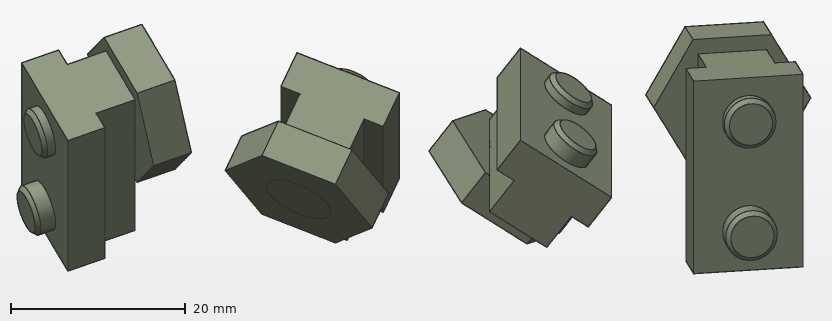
import cadquery as cq
import math

block_height = 23.25
flange_width = 12.75
flange_depth = 4.65
stem_width = 8.0
stem_depth = 4.88
stem_back = flange_depth + stem_depth
stud_diameter = stem_width

overall_height = 25.02
nut_corner_width = 18.31
nut_flat_width = nut_corner_width * math.cos(math.pi / 6)
nut_depth = 4.75
nut_center_z = overall_height - nut_flat_width / 2

pin_diameter = 6.0
pin_chamfer = 0.5
pin_seat_depth = flange_depth
upper_pin_z = 18.1
lower_pin_z = 4.8
upper_pin_projection = 1.5
lower_pin_projection = 2.35
pin_places = [
    (upper_pin_z, upper_pin_projection),
    (lower_pin_z, lower_pin_projection),
]


def cross_plane(y, z):
    """Plane facing +Y, centred on X = 0 at the given Y and Z."""
    return cq.Plane(origin=(0, y, z), xDir=(1, 0, 0), normal=(0, 1, 0))


def cylinder_along_y(diameter, start_y, end_y, z):
    return cq.Workplane(cross_plane(start_y, z)).circle(diameter / 2).extrude(end_y - start_y)


def make_block():
    flange = cq.Workplane("XY").box(
        flange_width, flange_depth, block_height, centered=(True, False, False)
    )
    stem = (
        cq.Workplane("XY")
        .box(stem_width, stem_depth, block_height, centered=(True, False, False))
        .translate((0, flange_depth, 0))
    )
    stud = cylinder_along_y(stud_diameter, stem_back, stem_back + nut_depth, nut_center_z)
    block = flange.union(stem).union(stud)
    for z, _ in pin_places:
        block = block.cut(cylinder_along_y(pin_diameter, 0, pin_seat_depth, z))
    return block


def make_nut():
    return (
        cq.Workplane(cross_plane(stem_back, nut_center_z))
        .polygon(6, nut_corner_width)
        .circle(stud_diameter / 2)
        .extrude(nut_depth)
    )


def make_pin(z, projection):
    pin = cylinder_along_y(pin_diameter, -projection, pin_seat_depth, z)
    return pin.faces("<Y").chamfer(pin_chamfer)


block = make_block()
nut = make_nut()
pins = [make_pin(z, projection) for z, projection in pin_places]

result = cq.Compound.makeCompound([block.val(), nut.val(), *[pin.val() for pin in pins]])